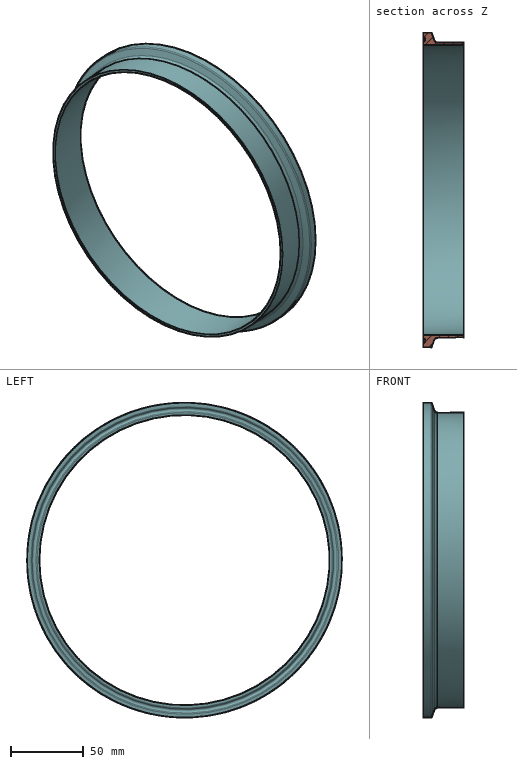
import cadquery as cq
import math

flange_diameter = 217.5
tube_outer_diameter = 204.0
bore_diameter = 200.0
length = 28.0

flange_rim_width = 5.9
flange_back_angle = 20.0
rim_fillet = 0.98
neck_fillet = 2.2

groove_diameter = 208.0
groove_radius = 1.41
groove_lip_fillet = 0.9

flange_radius = flange_diameter / 2
tube_radius = tube_outer_diameter / 2
bore_radius = bore_diameter / 2
front_x = -length / 2
back_x = length / 2
rim_x = front_x + flange_rim_width
neck_x = rim_x + (flange_radius - tube_radius) * math.tan(math.radians(flange_back_angle))


def revolve_about_x(profile):
    """Turn a profile, drawn as (axial position, radius), around the X axis."""
    return profile.revolve(360, (0, 0, 0), (1, 0, 0))


def circle_edge(x, radius):
    """Select the circular edge at an axial position with the given radius."""
    tolerance = 0.02
    return cq.selectors.BoxSelector(
        (x - tolerance, -radius - tolerance, -radius - tolerance),
        (x + tolerance, radius + tolerance, radius + tolerance),
        boundingbox=True,
    )


def make_body():
    profile = (
        cq.Workplane("XY")
        .moveTo(front_x, bore_radius)
        .lineTo(front_x, flange_radius)
        .lineTo(rim_x, flange_radius)
        .lineTo(neck_x, tube_radius)
        .lineTo(back_x, tube_radius)
        .lineTo(back_x, bore_radius)
        .close()
    )
    body = revolve_about_x(profile)
    body = body.edges(circle_edge(rim_x, flange_radius)).fillet(rim_fillet)
    return body.edges(circle_edge(neck_x, tube_radius)).fillet(neck_fillet)


def make_groove():
    center_radius = groove_diameter / 2
    half_width = math.sqrt((groove_radius + groove_lip_fillet) ** 2 - groove_lip_fillet**2)
    blend_ratio = groove_radius / (groove_radius + groove_lip_fillet)
    blend_x = front_x + groove_lip_fillet * blend_ratio
    blend_offset = half_width * blend_ratio
    profile = (
        cq.Workplane("XY")
        .moveTo(front_x, center_radius - half_width)
        .radiusArc((blend_x, center_radius - blend_offset), groove_lip_fillet)
        .threePointArc(
            (front_x + groove_radius, center_radius),
            (blend_x, center_radius + blend_offset),
        )
        .radiusArc((front_x, center_radius + half_width), groove_lip_fillet)
        .close()
    )
    return revolve_about_x(profile)


result = make_body().cut(make_groove())